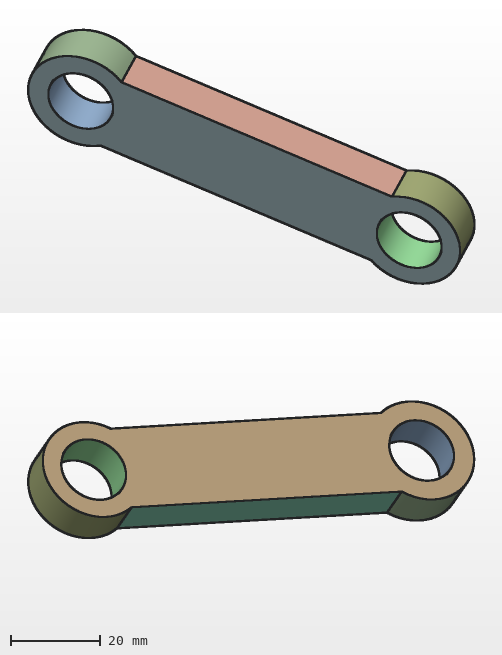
import cadquery as cq
import math

length = 102.0
height = 44.2
thickness = 10.0

upper_eye_radius = 12.4
lower_eye_radius = 12.0
hole_diameter = 15.3
bar_width = 20.0

run = length - upper_eye_radius - lower_eye_radius
drop = height - upper_eye_radius - lower_eye_radius
center_distance = math.hypot(run, drop)
tilt = math.degrees(math.atan2(drop, run))


def cylinder(x, z, radius):
    """Cylinder along Y through the full thickness, centred on Y = 0."""
    return cq.Workplane("XZ").center(x, z).circle(radius).extrude(thickness / 2, both=True)


bar = (
    cq.Workplane("XY")
    .box(center_distance, thickness, bar_width)
    .translate((center_distance / 2, 0, 0))
    .rotate((0, 0, 0), (0, 1, 0), tilt)
)

eyes = [(0, 0, upper_eye_radius), (run, -drop, lower_eye_radius)]
result = bar
for x, z, radius in eyes:
    result = result.union(cylinder(x, z, radius))
for x, z, _ in eyes:
    result = result.cut(cylinder(x, z, hole_diameter / 2))